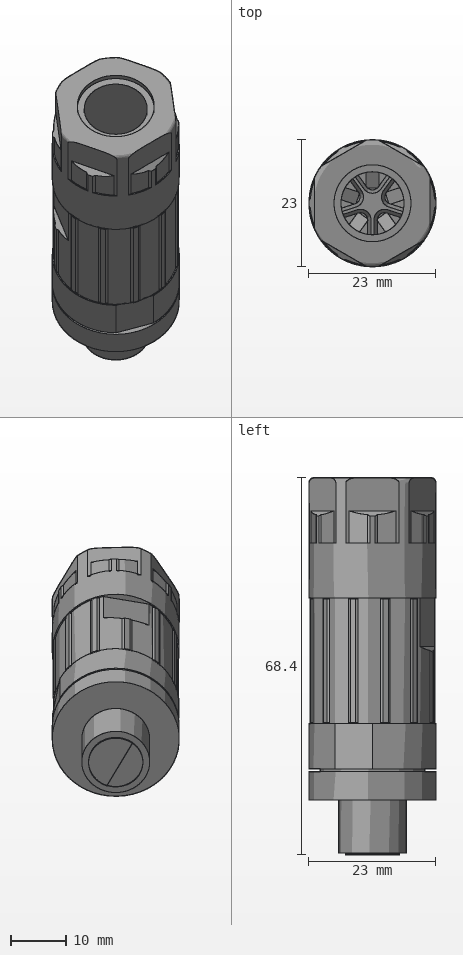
import cadquery as cq
import math

TOTAL_HEIGHT = 68.35
PLUG_STEP = 0.15
STEM_BOTTOM = 0.35
FLANGE_BOTTOM = 9.9
FLANGE_TOP = 15.1
RING_BOTTOM = 15.6
RING_TOP = 23.8
NUT_BOTTOM = 46.55
NUT_SHOULDER = 56.5
NUT_FLAT_END = 62.35
GRIP_FLAT_END = 37.7
SEAM_GAP = 0.2

OUTER_DIAMETER = 23.0
OUTER_RADIUS = OUTER_DIAMETER / 2
PANEL_RADIUS = 11.3
NECK_RADIUS = 9.5
STEM_RADIUS = 6.15
PLUG_RADIUS = 4.9
PLUG_STEP_X = -0.8
FLAT_DISTANCE = 10.45
RING_FLAT_HALF_ANGLE = 18.0
RING_FLAT_ANGLES = (162.0, 342.0)

SLOPE_REACH = 1.4
SLOPE_ANGLE = 42.0

RIB_BASE_WIDTH = 1.8
RIB_TOP_WIDTH = 0.95
RIB_ROOT_DEPTH = 1.4
GRIP_RIB_COUNT = 12
GRIP_RIB_START = 12.0
GRIP_FLAT_ANGLES = (72.0, 252.0)
HEX_SIDES = 6
HEX_ANGLES = [360.0 / HEX_SIDES * i for i in range(HEX_SIDES)]

TOP_ROUND_RADIUS = 0.95
MOUTH_RADIUS = 7.0
MOUTH_DEPTH = 0.95
BORE_DIAMETER = 11.4
BORE_RADIUS = BORE_DIAMETER / 2

INSERT_TOP = 45.1
POCKET_COUNT = 5
POCKET_START = 90.0
POCKET_DEPTH = 2.05
POCKET_TIP_RADIUS = 1.9
POCKET_WALL_INSET = 0.6
SPOKE_HALF_WIDTH = 0.3
RAMP_WIDTH = 2.3
RAMP_START = 2.8
RAMP_ANGLE = 30.0


def cylinder(radius, bottom, top):
    return cq.Workplane("XY").workplane(offset=bottom).circle(radius).extrude(top - bottom)


def turned(body, angle):
    return body.rotate((0, 0, 0), (0, 0, 1), angle)


def rib(angle, bottom, top):
    """Upright rib with leaning sides that rises from the panel surface to the outer radius."""
    half_base = RIB_BASE_WIDTH / 2
    half_top = RIB_TOP_WIDTH / 2
    root = PANEL_RADIUS - RIB_ROOT_DEPTH
    foot = math.sqrt(PANEL_RADIUS**2 - half_base**2)
    crest = math.sqrt(OUTER_RADIUS**2 - half_top**2)
    body = (
        cq.Workplane("XY", origin=(0, 0, bottom))
        .moveTo(root, -half_base)
        .lineTo(foot, -half_base)
        .lineTo(crest, -half_top)
        .threePointArc((OUTER_RADIUS, 0), (crest, half_top))
        .lineTo(foot, half_base)
        .lineTo(root, half_base)
        .close()
        .extrude(top - bottom)
    )
    return turned(body, angle)


def sloped_flat_cut(angle, foot):
    """Material outside one flat, with a slope running out and down from the foot of the flat."""
    slope_drop = SLOPE_REACH * math.tan(math.radians(SLOPE_ANGLE))
    outside = FLAT_DISTANCE + SLOPE_REACH
    outline = [
        (FLAT_DISTANCE, foot),
        (FLAT_DISTANCE, TOTAL_HEIGHT),
        (outside, TOTAL_HEIGHT),
        (outside, foot - slope_drop),
    ]
    body = cq.Workplane("XZ").polyline(outline).close().extrude(OUTER_RADIUS, both=True)
    return turned(body, angle)


def ribbed_sleeve(bottom, top, rib_bottom, rib_top, rib_angles, flat_angles, flat_foot):
    """Panel cylinder with raised ribs, cut by flats that run to its top."""
    body = cylinder(PANEL_RADIUS, bottom, top)
    for angle in rib_angles:
        body = body.union(rib(angle, rib_bottom, rib_top))
    for angle in flat_angles:
        body = body.cut(sloped_flat_cut(angle, flat_foot))
    return body


def plug_end():
    stem = cylinder(STEM_RADIUS, STEM_BOTTOM, FLANGE_BOTTOM)
    plug = cylinder(PLUG_RADIUS, 0, FLANGE_BOTTOM)
    step = cq.Workplane("XY").box(OUTER_RADIUS, 2 * OUTER_RADIUS, PLUG_STEP, centered=(False, True, False))
    plug = plug.cut(step.translate((PLUG_STEP_X - OUTER_RADIUS, 0, 0)))
    flange = cylinder(OUTER_RADIUS, FLANGE_BOTTOM, FLANGE_TOP)
    neck = cylinder(NECK_RADIUS, FLANGE_BOTTOM, RING_TOP)
    return stem.union(plug).union(flange).union(neck)


def ring():
    body = cylinder(OUTER_RADIUS, RING_BOTTOM, RING_TOP)
    distance = OUTER_RADIUS * math.cos(math.radians(RING_FLAT_HALF_ANGLE))
    for angle in RING_FLAT_ANGLES:
        outside = cq.Workplane("XY").box(
            OUTER_RADIUS, 2 * OUTER_RADIUS, RING_TOP, centered=(False, True, False)
        )
        outside = outside.translate((distance, 0, RING_BOTTOM))
        body = body.cut(turned(outside, angle))
    return body


def grip():
    spacing = 360.0 / GRIP_RIB_COUNT
    rib_angles = [GRIP_RIB_START + spacing * i for i in range(GRIP_RIB_COUNT)]
    return ribbed_sleeve(
        RING_TOP,
        NUT_BOTTOM,
        RING_TOP + SEAM_GAP,
        NUT_BOTTOM - SEAM_GAP,
        rib_angles,
        GRIP_FLAT_ANGLES,
        GRIP_FLAT_END,
    )


def nut():
    collar = cylinder(OUTER_RADIUS, NUT_BOTTOM, NUT_SHOULDER)
    corner_diameter = 2 * FLAT_DISTANCE / math.cos(math.pi / HEX_SIDES)
    hexagon = cq.Workplane("XY").workplane(offset=NUT_SHOULDER).polygon(HEX_SIDES, corner_diameter)
    hexagon = turned(hexagon.extrude(TOTAL_HEIGHT - NUT_SHOULDER), 180.0 / HEX_SIDES)
    envelope = cylinder(OUTER_RADIUS, NUT_SHOULDER, TOTAL_HEIGHT)
    envelope = envelope.faces(">Z").edges().fillet(TOP_ROUND_RADIUS)
    ribs = ribbed_sleeve(
        NUT_SHOULDER,
        NUT_FLAT_END,
        NUT_SHOULDER,
        NUT_FLAT_END,
        HEX_ANGLES,
        HEX_ANGLES,
        NUT_FLAT_END,
    )
    return collar.union(hexagon.intersect(envelope)).union(ribs)


def insert_pocket():
    """Pocket between two spokes, opening outward along +X, with a ramp rising outward on its floor."""
    half_angle = math.pi / POCKET_COUNT
    tip_centre = (SPOKE_HALF_WIDTH + POCKET_TIP_RADIUS) / math.sin(half_angle)
    tangent_x = tip_centre - POCKET_TIP_RADIUS * math.sin(half_angle)
    tangent_y = POCKET_TIP_RADIUS * math.cos(half_angle)
    outer_x = 2 * BORE_RADIUS
    outer_y = tangent_y + (outer_x - tangent_x) * math.tan(half_angle)
    lean = math.degrees(math.atan(POCKET_WALL_INSET / POCKET_DEPTH))
    pocket = (
        cq.Workplane("XY", origin=(0, 0, INSERT_TOP))
        .moveTo(outer_x, -outer_y)
        .lineTo(tangent_x, -tangent_y)
        .threePointArc((tip_centre - POCKET_TIP_RADIUS, 0), (tangent_x, tangent_y))
        .lineTo(outer_x, outer_y)
        .close()
        .extrude(-POCKET_DEPTH, taper=lean)
    )
    pocket = pocket.intersect(cylinder(BORE_RADIUS, INSERT_TOP - POCKET_DEPTH, INSERT_TOP))
    floor = INSERT_TOP - POCKET_DEPTH
    ramp_rise = (BORE_RADIUS - RAMP_START) * math.tan(math.radians(RAMP_ANGLE))
    ramp = (
        cq.Workplane("XZ")
        .polyline([(RAMP_START, floor), (BORE_RADIUS, floor), (BORE_RADIUS, floor + ramp_rise)])
        .close()
        .extrude(RAMP_WIDTH / 2, both=True)
    )
    return pocket.cut(ramp)


def mouth_and_insert(body):
    body = body.cut(cylinder(MOUTH_RADIUS, TOTAL_HEIGHT - MOUTH_DEPTH, TOTAL_HEIGHT))
    body = body.cut(cylinder(BORE_RADIUS, INSERT_TOP, TOTAL_HEIGHT))
    pocket = insert_pocket()
    for i in range(POCKET_COUNT):
        body = body.cut(turned(pocket, POCKET_START + 360.0 / POCKET_COUNT * i))
    return body


result = mouth_and_insert(plug_end().union(ring()).union(grip()).union(nut()))